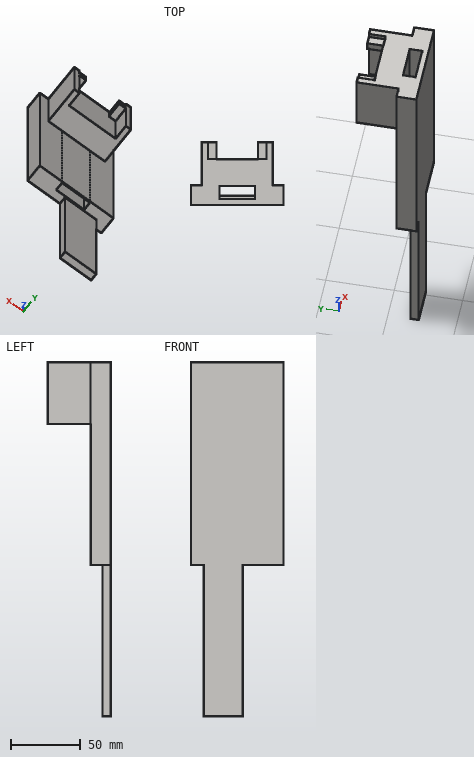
import cadquery as cq

total_length = 254.0
body_width = 66.5
total_depth = 45.2

body_length = 145.5
body_depth = 14.5
tongue_width = 28.2
tongue_depth = 6.0
tongue_offset = 9.1

head_width = 51.0
head_length = 44.5
channel_width = 42.0
channel_depth = 12.2

ledge_width = 6.0
ledge_thickness = 6.0
ledge_drop = 3.3

slot_width = 25.1
slot_front = 4.5
slot_back = 13.7
slot_step_y = 6.9
slot_step_depth = head_length

body_bottom = total_length - body_length
head_bottom = total_length - head_length
channel_floor = total_depth - channel_depth


def block(x_start, width, y_start, y_end, z_start, z_end):
    """Box given by its X start and width and by its Y and Z limits."""
    size = (width, y_end - y_start, z_end - z_start)
    return cq.Workplane("XY").box(*size, centered=False).translate((x_start, y_start, z_start))


def centred_block(width, y_start, y_end, z_start, z_end):
    """Box centred across the body width."""
    return block(-width / 2, width, y_start, y_end, z_start, z_end)


body = centred_block(body_width, 0, body_depth, body_bottom, total_length)
tongue_left = tongue_offset - body_width / 2
tongue = block(tongue_left, tongue_width, 0, tongue_depth, 0, body_bottom)
head = centred_block(head_width, 0, total_depth, head_bottom, total_length)
result = body.union(tongue).union(head)

result = result.cut(centred_block(channel_width, channel_floor, total_depth, head_bottom, total_length))

ledge_top = total_length - ledge_drop
ledge_bottom = ledge_top - ledge_thickness
for ledge_left in (-channel_width / 2, channel_width / 2 - ledge_width):
    ledge = block(ledge_left, ledge_width, channel_floor, total_depth, ledge_bottom, ledge_top)
    result = result.union(ledge)

slot_step_z = total_length - slot_step_depth
result = result.cut(centred_block(slot_width, slot_front, slot_back, slot_step_z, total_length))
result = result.cut(centred_block(slot_width, slot_step_y, slot_back, body_bottom, slot_step_z))